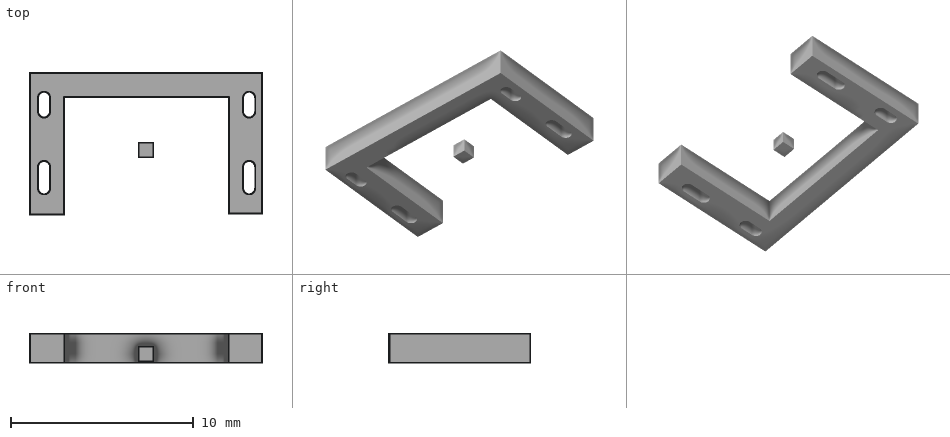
import cadquery as cq

frame_width = 12.71
frame_height = 1.6
back_bar_depth = 1.33
left_leg_length = 7.75
right_leg_length = 7.7
left_leg_width = 1.87
right_leg_width = 1.82

slot_width = 0.65
back_slot_length = 1.4
front_slot_length = 1.82
back_slot_inset = 1.74
slot_pitch = 3.99
left_slot_inset = 0.78
slot_spacing = 11.22

cube_side = 0.8
cube_inset = 4.22
cube_lift = 0.08


def make_slot_cutter(x, y, length):
    return (
        cq.Workplane("XY")
        .center(x, y)
        .slot2D(length, slot_width, angle=90)
        .extrude(frame_height)
    )


def make_frame():
    left_inner_x = left_leg_width
    right_inner_x = frame_width - right_leg_width
    frame = (
        cq.Workplane("XY")
        .polyline([
            (0, 0),
            (frame_width, 0),
            (frame_width, -right_leg_length),
            (right_inner_x, -right_leg_length),
            (right_inner_x, -back_bar_depth),
            (left_inner_x, -back_bar_depth),
            (left_inner_x, -left_leg_length),
            (0, -left_leg_length),
        ])
        .close()
        .extrude(frame_height)
    )
    back_slot_y = -back_slot_inset
    front_slot_y = back_slot_y - slot_pitch
    for x in (left_slot_inset, left_slot_inset + slot_spacing):
        frame = frame.cut(make_slot_cutter(x, back_slot_y, back_slot_length))
        frame = frame.cut(make_slot_cutter(x, front_slot_y, front_slot_length))
    return frame


def make_cube():
    return (
        cq.Workplane("XY")
        .box(cube_side, cube_side, cube_side, centered=(True, True, False))
        .translate((frame_width / 2, -cube_inset, cube_lift))
    )


frame = make_frame()
cube = make_cube()

result = cq.Compound.makeCompound([frame.val(), cube.val()])